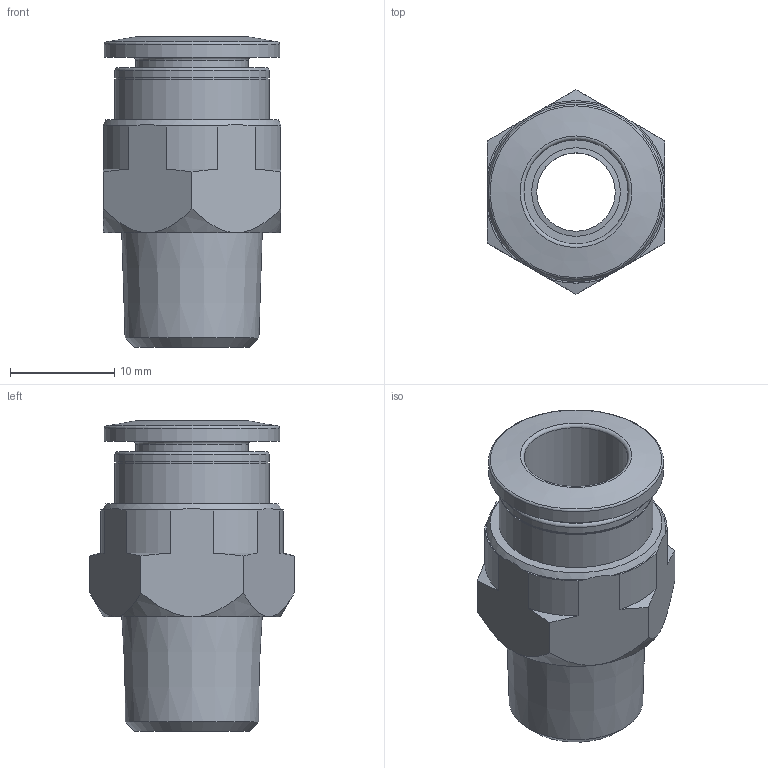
import cadquery as cq
import math


stud_top = 11.0
corner_shelf_z = 17.1
body_top = 21.83
groove_bottom = 25.7
collar_top = 26.83
flange_bottom = 27.8
total_height = 29.8

gauge_radius = 13.157 / 2
gauge_z = 6.0
stud_taper_on_diameter = 1 / 16
stud_chamfer = 0.9

across_flats = 17.0
across_corners = across_flats / math.cos(math.radians(30))
bevel_angle = 60.0
upper_body_radius = 17.5 / 2
shelf_slope_angle = 15.0
shoulder_radius = 17.2 / 2
shoulder_height = 0.6

collar_radius = 14.8 / 2
collar_fillet = 0.3
groove_width = 0.15
groove_depth = 0.1

neck_radius = 10.8 / 2
neck_fillet = 0.25
flange_radius = 16.8 / 2
dome_slope_angle = 10.0
rim_fillet = 0.2
mouth_fillet = 0.3

tube_bore_radius = 10.0 / 2
through_bore_radius = 7.52 / 2
stop_cone_radius = 8.5 / 2
tube_stop_z = 12.0
stop_cone_height = 0.1


def revolve_about_axis(profile):
    """Close an XZ profile and turn it one full revolution about Z."""
    return profile.close().revolve(360, (0, 0, 0), (0, 1, 0))


def on_arc(center, radius, angle):
    """Point on a circle in the XZ plane, angle in degrees from +X."""
    turn = math.radians(angle)
    return (center[0] + radius * math.cos(turn), center[1] + radius * math.sin(turn))


def make_stud():
    taper_on_radius = stud_taper_on_diameter / 2
    tip_radius = gauge_radius - (gauge_z - stud_chamfer) * taper_on_radius
    stud_top_radius = gauge_radius + (stud_top - gauge_z) * taper_on_radius
    profile = (
        cq.Workplane("XZ")
        .lineTo(tip_radius - stud_chamfer, 0)
        .lineTo(tip_radius, stud_chamfer)
        .lineTo(stud_top_radius, stud_top)
        .lineTo(0, stud_top)
    )
    return revolve_about_axis(profile)


def make_hexagon_body():
    corner_radius = across_corners / 2
    flat_radius = across_flats / 2
    bevel_height = (corner_radius - flat_radius) * math.tan(math.radians(bevel_angle))
    shoulder_inset = shoulder_height / math.tan(math.radians(bevel_angle))
    shelf_drop = (corner_radius - upper_body_radius) * math.tan(math.radians(shelf_slope_angle))
    prism = (
        cq.Workplane("XY")
        .workplane(offset=stud_top)
        .polygon(6, across_corners)
        .extrude(body_top - stud_top)
        .rotate((0, 0, 0), (0, 0, 1), 30)
    )
    envelope_profile = (
        cq.Workplane("XZ")
        .moveTo(0, stud_top)
        .lineTo(flat_radius, stud_top)
        .lineTo(corner_radius, stud_top + bevel_height)
        .lineTo(corner_radius, corner_shelf_z - shelf_drop)
        .lineTo(upper_body_radius, corner_shelf_z)
        .lineTo(upper_body_radius, body_top - shoulder_height)
        .lineTo(shoulder_radius, body_top - shoulder_height)
        .lineTo(shoulder_radius - shoulder_inset, body_top)
        .lineTo(0, body_top)
    )
    return prism.intersect(revolve_about_axis(envelope_profile))


def make_collar():
    fillet_center = (collar_radius - collar_fillet, collar_top - collar_fillet)
    profile = (
        cq.Workplane("XZ")
        .moveTo(0, body_top)
        .lineTo(collar_radius, body_top)
        .lineTo(collar_radius, groove_bottom)
        .lineTo(collar_radius - groove_depth, groove_bottom)
        .lineTo(collar_radius - groove_depth, groove_bottom + groove_width)
        .lineTo(collar_radius, groove_bottom + groove_width)
        .lineTo(*on_arc(fillet_center, collar_fillet, 0))
        .threePointArc(
            on_arc(fillet_center, collar_fillet, 45),
            on_arc(fillet_center, collar_fillet, 90),
        )
        .lineTo(0, collar_top)
    )
    return revolve_about_axis(profile)


def make_release_ring():
    slope = math.radians(dome_slope_angle)
    slope_normal = 90 - dome_slope_angle
    mouth_center = (tube_bore_radius + mouth_fillet, total_height - mouth_fillet)
    rim_center_radius = flange_radius - rim_fillet
    dome_drop = (rim_center_radius - mouth_center[0]) * math.tan(slope)
    fillet_offset = (mouth_fillet - rim_fillet) / math.cos(slope)
    rim_center = (rim_center_radius, mouth_center[1] - dome_drop + fillet_offset)
    neck_center = (neck_radius + neck_fillet, flange_bottom - neck_fillet)
    profile = (
        cq.Workplane("XZ")
        .moveTo(tube_bore_radius, collar_top)
        .lineTo(neck_radius, collar_top)
        .lineTo(*on_arc(neck_center, neck_fillet, 180))
        .threePointArc(
            on_arc(neck_center, neck_fillet, 135),
            on_arc(neck_center, neck_fillet, 90),
        )
        .lineTo(flange_radius, flange_bottom)
        .lineTo(*on_arc(rim_center, rim_fillet, 0))
        .threePointArc(
            on_arc(rim_center, rim_fillet, slope_normal / 2),
            on_arc(rim_center, rim_fillet, slope_normal),
        )
        .lineTo(*on_arc(mouth_center, mouth_fillet, slope_normal))
        .threePointArc(
            on_arc(mouth_center, mouth_fillet, (slope_normal + 180) / 2),
            on_arc(mouth_center, mouth_fillet, 180),
        )
    )
    return revolve_about_axis(profile)


def make_bore():
    profile = (
        cq.Workplane("XZ")
        .lineTo(through_bore_radius, 0)
        .lineTo(through_bore_radius, tube_stop_z + stop_cone_height)
        .lineTo(stop_cone_radius, tube_stop_z)
        .lineTo(tube_bore_radius, tube_stop_z)
        .lineTo(tube_bore_radius, total_height)
        .lineTo(0, total_height)
    )
    return revolve_about_axis(profile)


outside = make_stud().union(make_hexagon_body()).union(make_collar()).union(make_release_ring())
result = outside.cut(make_bore())